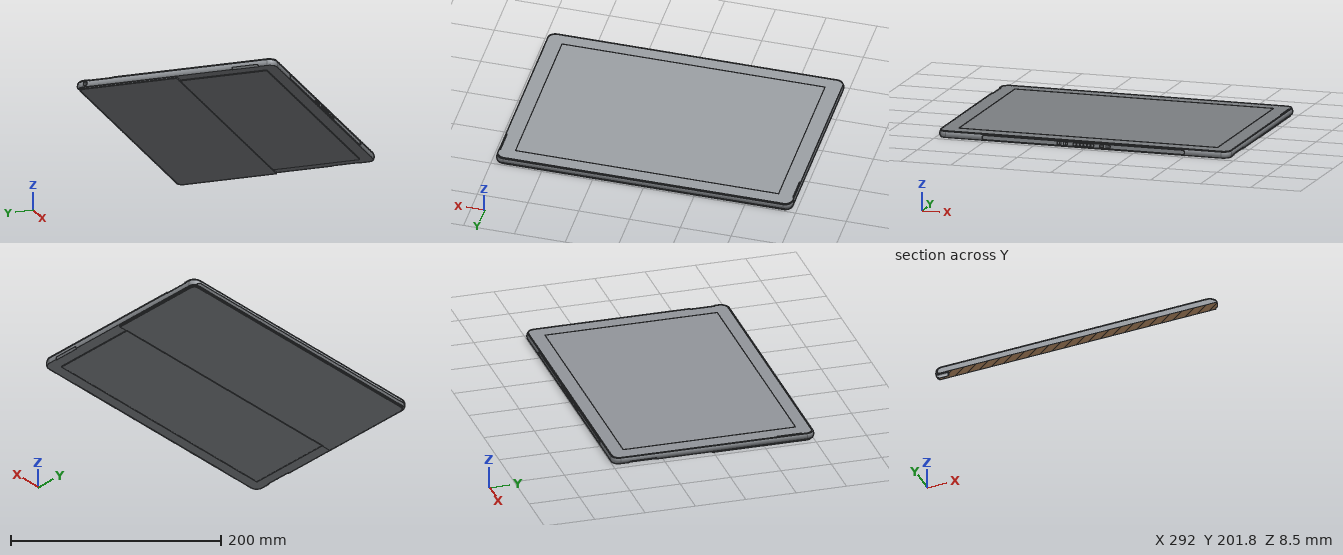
import cadquery as cq

LENGTH = 292.0
DEPTH = 201.8
HEIGHT = 8.5

CORNER_RADIUS = 8.2
FRAME_BOTTOM = 1.8
FRAME_TOP = 7.5
WALL_BULGE = 1.0
REAR_BEVEL = 2.0
CUTTER_MARGIN = 3.0

GLASS_SIDE_INSET = 1.0
GLASS_FRONT_INSET = 1.5
GLASS_REAR_INSET = 2.0
GLASS_CORNER_RADIUS = 7.3
DISPLAY_LENGTH = 259.0
DISPLAY_DEPTH = 171.0
DISPLAY_RECESS = 0.15

SPEAKER_DEPTH = 1.2
SPEAKER_LENGTH = 24.0
SPEAKER_Y = 75.0

HINGE_Y = -1.0
BACK_SIDE_INSET = 2.0
BACK_REAR_INSET = 2.5
BACK_CORNER_RADIUS = 5.8
BACK_CHAMFER = 0.5
KICKSTAND_LENGTH = 267.0
KICKSTAND_FRONT_Y = -88.2
KICKSTAND_BOTTOM = 0.73

NOTCH_FRONT_Y = -84.5
NOTCH_REAR_Y = -57.5
NOTCH_TOP = 3.8
NOTCH_DEPTH = 1.8
NOTCH_END_SLANT = 1.8

CONNECTOR_LENGTH = 202.6
CONNECTOR_HEIGHT = 4.0
CONNECTOR_DEPTH = 1.0
CONNECTOR_Z = 4.7
CONTACT_COUNT = 6
CONTACT_PITCH = 3.5
CONTACT_DIAMETER = 3.2
CONTACT_RISE = 0.3
SOCKET_X = 21.3
SOCKET_LENGTH = 10.5
SOCKET_HEIGHT = 3.0
SOCKET_DEPTH = 1.8
TAB_BASE_LENGTH = 5.8
TAB_TOP_LENGTH = 2.5

JACK_DIAMETER = 3.8
JACK_DEPTH = 11.7
JACK_Y = 90.5
JACK_Z = 4.7

LEFT_X = -LENGTH / 2
FRONT_Y = -DEPTH / 2
REAR_Y = DEPTH / 2


def plate(length, front_y, rear_y, bottom_z, top_z):
    """A rectangular plate centred on X."""
    return (
        cq.Workplane("XY", origin=(0, (front_y + rear_y) / 2, bottom_z))
        .rect(length, rear_y - front_y)
        .extrude(top_z - bottom_z)
    )


def front_plane(depth):
    """A plane at a depth behind the front face, facing -Y, at connector height."""
    return cq.Workplane("XZ", origin=(0, FRONT_Y + depth, CONNECTOR_Z))


def both_sides(left_shape):
    """A left-hand shape together with its mirror image on the right."""
    return left_shape.union(left_shape.mirror("YZ"))


def make_frame():
    block = plate(LENGTH, FRONT_Y, REAR_Y, FRAME_BOTTOM, FRAME_TOP).edges("|Z").fillet(CORNER_RADIUS)
    outline = block.faces("<Z").wires().val()
    wall_x = LEFT_X + WALL_BULGE
    outside = (
        cq.Workplane("XZ")
        .moveTo(wall_x, FRAME_BOTTOM)
        .threePointArc((LEFT_X, (FRAME_BOTTOM + FRAME_TOP) / 2), (wall_x, FRAME_TOP))
        .lineTo(LEFT_X - CUTTER_MARGIN, FRAME_TOP)
        .lineTo(LEFT_X - CUTTER_MARGIN, FRAME_BOTTOM)
        .close()
        .sweep(cq.Workplane(outline), transition="right")
    )
    rear_bevel = (
        cq.Workplane("YZ", origin=(LEFT_X, 0, 0))
        .moveTo(REAR_Y, FRAME_BOTTOM)
        .lineTo(REAR_Y, FRAME_BOTTOM + REAR_BEVEL)
        .lineTo(REAR_Y - REAR_BEVEL, FRAME_BOTTOM)
        .close()
        .extrude(LENGTH)
    )
    return block.cut(outside).cut(rear_bevel)


def make_glass():
    glass = plate(
        LENGTH - 2 * GLASS_SIDE_INSET,
        FRONT_Y + GLASS_FRONT_INSET,
        REAR_Y - GLASS_REAR_INSET,
        FRAME_TOP,
        HEIGHT,
    )
    glass = glass.edges("|Z").fillet(GLASS_CORNER_RADIUS)
    display = plate(
        DISPLAY_LENGTH, -DISPLAY_DEPTH / 2, DISPLAY_DEPTH / 2, HEIGHT - DISPLAY_RECESS, HEIGHT
    )
    speaker_x = LEFT_X + GLASS_SIDE_INSET
    speaker = (
        cq.Workplane("XY", origin=(speaker_x, SPEAKER_Y, FRAME_TOP))
        .rect(2 * SPEAKER_DEPTH, SPEAKER_LENGTH)
        .extrude(HEIGHT - FRAME_TOP)
    )
    return glass.cut(display).cut(both_sides(speaker))


def make_back():
    cover = plate(LENGTH - 2 * BACK_SIDE_INSET, HINGE_Y, REAR_Y - BACK_REAR_INSET, 0, FRAME_BOTTOM)
    cover = cover.edges("|Z and >Y").fillet(BACK_CORNER_RADIUS)
    cover = cover.faces("<Z").edges("not <Y").chamfer(BACK_CHAMFER)
    kickstand = plate(KICKSTAND_LENGTH, KICKSTAND_FRONT_Y, HINGE_Y, KICKSTAND_BOTTOM, FRAME_BOTTOM)
    return cover.union(kickstand)


def make_notches():
    """Wedges that open the lower wall edge, with the front end slanted."""
    wedge = (
        cq.Workplane("XZ", origin=(0, NOTCH_REAR_Y, 0))
        .moveTo(LEFT_X, FRAME_BOTTOM)
        .lineTo(LEFT_X, NOTCH_TOP)
        .lineTo(LEFT_X + NOTCH_DEPTH, FRAME_BOTTOM)
        .close()
        .extrude(NOTCH_REAR_Y - NOTCH_FRONT_Y)
    )
    side_shape = (
        cq.Workplane("YZ", origin=(LEFT_X, 0, 0))
        .moveTo(NOTCH_REAR_Y, FRAME_BOTTOM)
        .lineTo(NOTCH_REAR_Y, NOTCH_TOP)
        .lineTo(NOTCH_FRONT_Y + NOTCH_END_SLANT, NOTCH_TOP)
        .lineTo(NOTCH_FRONT_Y, FRAME_BOTTOM)
        .close()
        .extrude(NOTCH_DEPTH)
    )
    return both_sides(wedge.intersect(side_shape))


def make_tab(x):
    """A tab with slanted flanks that stands in a socket, flush with the groove floor."""
    return (
        cq.Workplane("XY", origin=(x, FRONT_Y, CONNECTOR_Z - SOCKET_HEIGHT / 2))
        .moveTo(-TAB_BASE_LENGTH / 2, SOCKET_DEPTH)
        .lineTo(-TAB_TOP_LENGTH / 2, CONNECTOR_DEPTH)
        .lineTo(TAB_TOP_LENGTH / 2, CONNECTOR_DEPTH)
        .lineTo(TAB_BASE_LENGTH / 2, SOCKET_DEPTH)
        .close()
        .extrude(SOCKET_HEIGHT)
    )


def add_connector(body):
    groove = (
        front_plane(CONNECTOR_DEPTH)
        .slot2D(CONNECTOR_LENGTH, CONNECTOR_HEIGHT)
        .extrude(CONNECTOR_DEPTH)
    )
    sockets = (
        front_plane(SOCKET_DEPTH)
        .pushPoints([(-SOCKET_X, 0), (SOCKET_X, 0)])
        .slot2D(SOCKET_LENGTH, SOCKET_HEIGHT)
        .extrude(SOCKET_DEPTH)
    )
    contacts = (
        front_plane(CONNECTOR_DEPTH)
        .rarray(CONTACT_PITCH, 3, CONTACT_COUNT, 1)
        .circle(CONTACT_DIAMETER / 2)
        .extrude(CONTACT_RISE)
    )
    body = body.cut(groove).cut(sockets).union(contacts)
    for x in (-SOCKET_X, SOCKET_X):
        body = body.union(make_tab(x))
    return body


def make_jack():
    return (
        cq.Workplane("YZ", origin=(LEFT_X, JACK_Y, JACK_Z))
        .circle(JACK_DIAMETER / 2)
        .extrude(JACK_DEPTH)
    )


body = make_frame().union(make_glass()).union(make_back())
body = body.cut(make_notches()).cut(make_jack())
result = add_connector(body)